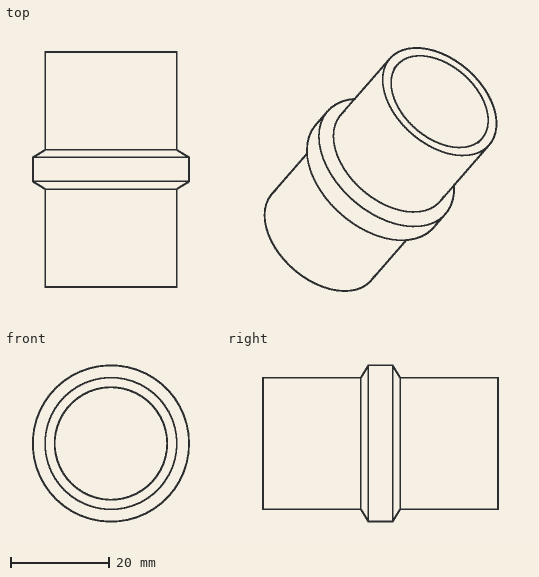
import cadquery as cq

length = 48.0
tube_radius = 26.9 / 2
bore_radius = 22.9 / 2

collar_radius = 31.9 / 2
collar_base_width = 8.0
collar_rim_width = 4.9

half_length = length / 2
half_base = collar_base_width / 2
half_rim = collar_rim_width / 2

section = [
    (bore_radius, -half_length),
    (tube_radius, -half_length),
    (tube_radius, -half_base),
    (collar_radius, -half_rim),
    (collar_radius, half_rim),
    (tube_radius, half_base),
    (tube_radius, half_length),
    (bore_radius, half_length),
]

result = cq.Workplane("XY").polyline(section).close().revolve(360, (0, 0, 0), (0, 1, 0))